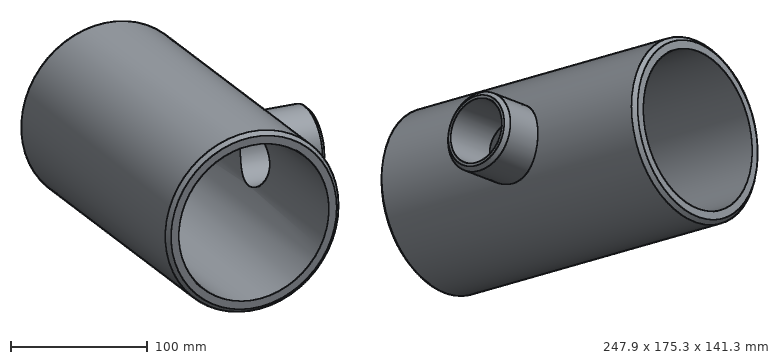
import cadquery as cq

run_length = 247.9
run_diameter = 141.3
run_wall = 9.53

branch_reach = 104.65
branch_diameter = 60.5
branch_wall = 5.54

bevel = 3.2


def rod_along_x(diameter):
    """Solid cylinder the length of the run, centred on the origin."""
    return cq.Workplane("YZ").circle(diameter / 2).extrude(run_length / 2, both=True)


def rod_along_y(diameter):
    """Solid cylinder from the run axis out to the branch end."""
    return cq.Workplane("XZ").circle(diameter / 2).extrude(-branch_reach)


run_body = rod_along_x(run_diameter).faces("<X or >X").edges().chamfer(bevel)
branch_body = rod_along_y(branch_diameter).faces(">Y").edges().chamfer(bevel)

run_bore = rod_along_x(run_diameter - 2 * run_wall)
branch_bore = rod_along_y(branch_diameter - 2 * branch_wall)

result = run_body.union(branch_body).cut(run_bore).cut(branch_bore)